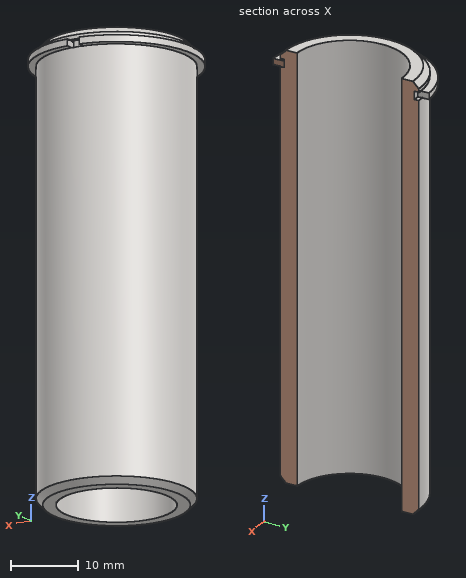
import cadquery as cq

bush_length = 71.0
bush_radius = 12.0
bore_radius = 9.0
end_chamfer = 1.0

ring_radius = 13.2
ring_thickness = 1.1
ring_gap = 2.0
ring_top_clearance = 0.2

groove_depth = 0.7
groove_top_offset = 1.6
groove_width = ring_thickness + ring_top_clearance
groove_radius = bush_radius - groove_depth
groove_bottom = bush_length - groove_top_offset - groove_width


def annulus(outer_radius, inner_radius, bottom, height):
    """Upright flat-ended ring around the Z axis."""
    return (
        cq.Workplane("XY", origin=(0, 0, bottom))
        .circle(outer_radius)
        .circle(inner_radius)
        .extrude(height)
    )


def make_bush():
    """Tube with chamfered outer ends and a groove for the retaining ring."""
    body = cq.Workplane("XY").circle(bush_radius).extrude(bush_length)
    body = body.faces("<Z or >Z").chamfer(end_chamfer)
    bore = cq.Workplane("XY").circle(bore_radius).extrude(bush_length)
    groove = annulus(ring_radius, groove_radius, groove_bottom, groove_width)
    return body.cut(bore).cut(groove)


def make_retaining_ring():
    """Split ring with its parallel-sided gap on the +Y side."""
    ring = annulus(ring_radius, groove_radius, groove_bottom, ring_thickness)
    gap = cq.Workplane("XY", origin=(0, 0, groove_bottom)).box(
        ring_gap, ring_radius, ring_thickness, centered=(True, False, False)
    )
    return ring.cut(gap)


bush = make_bush()
retaining_ring = make_retaining_ring()

result = cq.Compound.makeCompound([bush.val(), retaining_ring.val()])